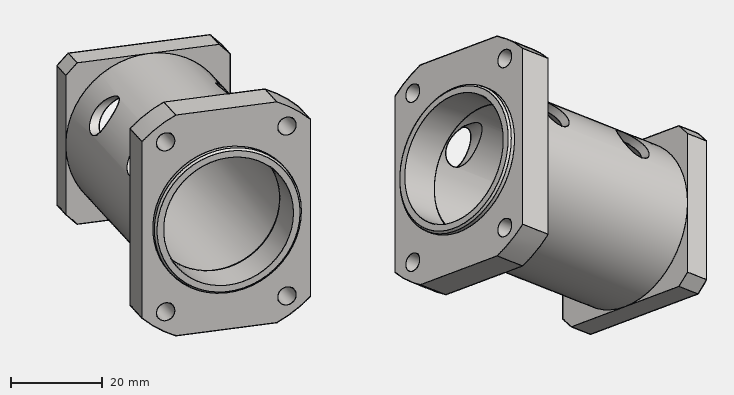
import cadquery as cq

total_length = 59.5
plate_thickness = 6.0
flange_thickness = 8.0
spigot_length = 1.5
flange_start = total_length - spigot_length - flange_thickness

body_diameter = 38.0
plate_chamfer = 2.6

flange_width = 39.0
flange_height = 52.0
flange_corner_diameter = 57.0
mount_hole_diameter = 4.2
mount_hole_spacing_y = 28.0
mount_hole_spacing_z = 40.0

spigot_diameter = 34.0
spigot_chamfer = 0.5
main_bore_diameter = 34.0
exit_bore_diameter = 30.0
bore_edge_chamfer = 0.25
shoulder_position = flange_start

cross_hole_diameter = 8.0
cross_hole_height = 11.25
first_cross_hole_x = 19.0
cross_hole_pitch = 25.0


def section_plane(x):
    """Sketch plane across the part axis at x, extruding toward +X."""
    return cq.Workplane("YZ", origin=(x, 0, 0))


def cylinder(x, diameter, length):
    return section_plane(x).circle(diameter / 2).extrude(length)


def make_end_plate():
    plate = section_plane(0).rect(body_diameter, body_diameter).extrude(plate_thickness)
    return plate.edges("|X").chamfer(plate_chamfer)


def make_flange():
    block = section_plane(flange_start).rect(flange_width, flange_height).extrude(flange_thickness)
    flange = block.intersect(cylinder(flange_start, flange_corner_diameter, flange_thickness))
    mount_holes = (
        section_plane(flange_start)
        .rect(mount_hole_spacing_y, mount_hole_spacing_z, forConstruction=True)
        .vertices()
        .circle(mount_hole_diameter / 2)
        .extrude(flange_thickness)
    )
    return flange.cut(mount_holes)


def make_spigot():
    spigot = cylinder(flange_start, spigot_diameter, total_length - flange_start)
    return spigot.faces(">X").edges().chamfer(spigot_chamfer)


def make_bore():
    """Main bore, shoulder with a broken edge, and narrower exit bore."""
    main_radius = main_bore_diameter / 2
    exit_radius = exit_bore_diameter / 2
    return (
        cq.Workplane("XY")
        .moveTo(0, 0)
        .lineTo(0, main_radius)
        .lineTo(shoulder_position, main_radius)
        .lineTo(shoulder_position, exit_radius + bore_edge_chamfer)
        .lineTo(shoulder_position + bore_edge_chamfer, exit_radius)
        .lineTo(total_length, exit_radius)
        .lineTo(total_length, 0)
        .close()
        .revolve(360, (0, 0, 0), (1, 0, 0))
    )


def make_cross_holes():
    centers = [
        (first_cross_hole_x, cross_hole_height),
        (first_cross_hole_x + cross_hole_pitch, cross_hole_height),
    ]
    return (
        cq.Workplane("XZ")
        .pushPoints(centers)
        .circle(cross_hole_diameter / 2)
        .extrude(body_diameter / 2, both=True)
    )


body = cylinder(0, body_diameter, flange_start)
outside = body.union(make_end_plate()).union(make_flange()).union(make_spigot())
result = outside.cut(make_bore()).cut(make_cross_holes())